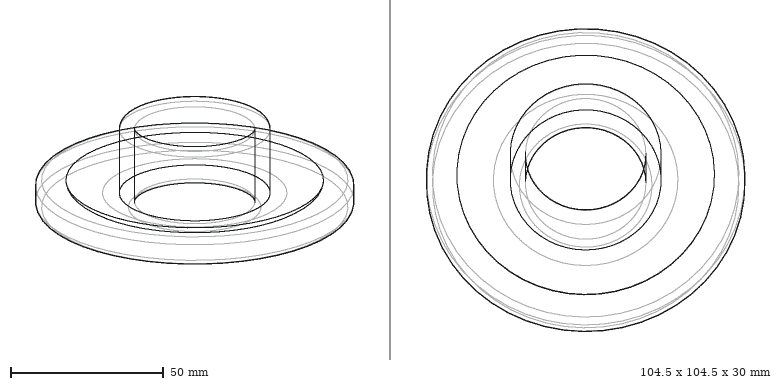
import cadquery as cq

flange_radius = 104.5 / 2
flange_thickness = 9.5
flange_edge_fillet = 2.0

bore_radius = 39.5 / 2
bore_mouth_fillet = 2.0
sleeve_radius = 49.5 / 2
total_height = 30.0
rim_radius = (sleeve_radius - bore_radius) / 2

recess_depth = 4.5
recess_floor_radius = 60.5 / 2
recess_outer_radius = 84.5 / 2


def make_flange():
    disc = cq.Workplane("XY").circle(flange_radius).extrude(flange_thickness)
    return disc.edges().fillet(flange_edge_fillet)


def make_recess():
    """Flat floor that sweeps up through a quarter ellipse to a vertical wall."""
    floor_z = flange_thickness - recess_depth
    return (
        cq.Workplane("XZ")
        .moveTo(0, flange_thickness)
        .lineTo(0, floor_z)
        .lineTo(recess_floor_radius, floor_z)
        .ellipseArc(
            recess_outer_radius - recess_floor_radius,
            recess_depth,
            angle1=270,
            angle2=360,
            startAtCurrent=True,
        )
        .close()
        .revolve(360, (0, 0, 0), (0, 1, 0))
    )


def make_sleeve():
    """Tube whose top rim is a half circle across the wall."""
    rim_base_z = total_height - rim_radius
    return (
        cq.Workplane("XZ")
        .moveTo(bore_radius, 0)
        .lineTo(sleeve_radius, 0)
        .lineTo(sleeve_radius, rim_base_z)
        .threePointArc((bore_radius + rim_radius, total_height), (bore_radius, rim_base_z))
        .close()
        .revolve(360, (0, 0, 0), (0, 1, 0))
    )


def make_bore():
    """Through bore with a rounded-out mouth at the bottom face."""
    return (
        cq.Workplane("XZ")
        .lineTo(bore_radius + bore_mouth_fillet, 0)
        .radiusArc((bore_radius, bore_mouth_fillet), bore_mouth_fillet)
        .lineTo(bore_radius, total_height)
        .lineTo(0, total_height)
        .close()
        .revolve(360, (0, 0, 0), (0, 1, 0))
    )


result = make_flange().cut(make_recess()).union(make_sleeve()).cut(make_bore())